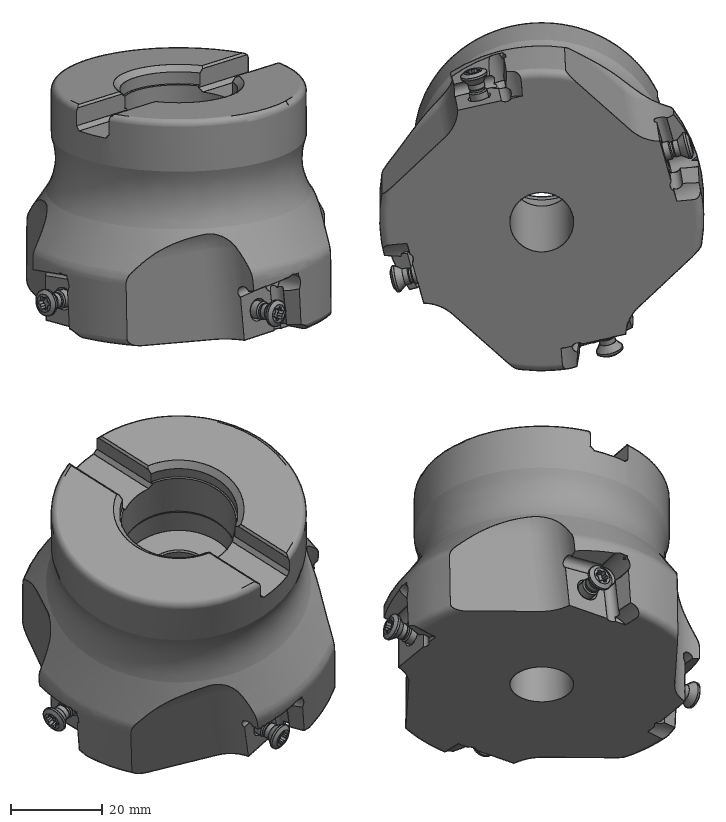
import cadquery as cq
import math


HEIGHT = 50.1
HEAD_RADIUS = 28.0
HEAD_BOTTOM = 38.4
HEAD_EDGE_RADIUS = 1.65
HEAD_EDGE_ANGLE = 74.0
NECK_RADIUS = 27.05
NECK_HEIGHT = 33.3
CONE_TOP_RADIUS = 29.05
CONE_TOP = 25.55
CONE_ANGLE = 34.0
RIM_RADIUS = 35.55
SHOULDER_TOP = 17.0
SHOULDER_RADIUS = 4.6
BOTTOM_FILLET = 1.9

BORE_RADIUS = 12.6
BORE_DEPTH = 22.0
BORE_ENTRY_RADIUS = 14.3
BORE_ENTRY_DEPTH = 1.3
BORE_MOUTH_RADIUS = 12.95
BORE_MOUTH_DEPTH = 4.0
BORE_MOUTH_TAPER = 0.15
BORE_RELIEF_RADIUS = 13.0
BORE_RELIEF_DEPTH = 15.1
BORE_RELIEF_TAPER = 0.85
HOLE_RADIUS = 7.0
HOLE_CHAMFER = 0.35

SLOT_WIDTH = 9.8
SLOT_DEPTH = 5.5
SLOT_CORNER_CHAMFER = 0.9
SLOT_EDGE_CHAMFER = 0.5

PITCH_OFFSET = 1.4
TOOTH_ANGLES = [0, 90 + PITCH_OFFSET, 180, 270 + PITCH_OFFSET]
RAKE_ANGLE = 5.4
OVERRUN = 10.8

FLUTE_WALL_ANGLE = 31.8
FLUTE_WALL_DISTANCE = 29.1
FLUTE_LEAN = 0.6
FLUTE_RADIUS = 9.35
FLUTE_CORNER = -0.7
FLUTE_TOP = 20.65
FLUTE_LENGTH = 36.0

SEAT_DISTANCE = 29.85
SEAT_LEFT = -18.7
SEAT_RIGHT = -1.0
SEAT_TOP = 10.4
POCKET_DEPTH = 7.2
POCKET_DRAFT = 15.0
GROOVE_RADIUS = 1.45
GROOVE_HEIGHT = 0.9
GROOVE_X = -1.0
GROOVE_Z = 10.6
CORNER_HOLE_RADIUS = 2.4
CORNER_HOLE_X = -1.2
CORNER_HOLE_Z = 10.0
CORNER_HOLE_TIP = 1.15
SCOOP_RADIUS = 4.0
SCOOP_X = -0.4
SCOOP_Z = -4.3
SCOOP_TAPER = 5.0

SCREW_X = -6.6
SCREW_Z = 4.95
THREAD_RADIUS = 2.0
THREAD_DEPTH = 7.2
THREAD_TOP = 1.4
UNDERCUT_RADIUS = 1.65
UNDERCUT_BOTTOM = 1.65
UNDERCUT_TOP = 2.1
NECK_BOTTOM = 2.3
SCREW_NECK_RADIUS = 1.8
NECK_TOP = 3.45
SCREW_HEAD_RADIUS = 2.95
SCREW_HEAD_BOTTOM = 5.0
SCREW_HEAD_EDGE = 5.55
SCREW_HEAD_TOP = 6.1
SCREW_HEAD_FACE_RADIUS = 2.0
SOCKET_RADIUS = 1.2
SOCKET_LOBE_RADIUS = 0.35
SOCKET_LOBES = 6
SOCKET_DEPTH = 1.45
COUNTERSINK = 0.5

ORIGIN = (0, 0, 0)
X_AXIS = (1, 0, 0)
Y_AXIS = (0, 1, 0)
Z_AXIS = (0, 0, 1)
wall_direction = math.radians(FLUTE_WALL_ANGLE)
WALL_NORMAL = (-math.sin(wall_direction), -math.cos(wall_direction), 0)


def rake(shape):
    """Lean a tooth feature by the rake angle, about the outward normal of the flute wall."""
    return shape.rotate(ORIGIN, WALL_NORMAL, RAKE_ANGLE)


def at_tooth(shape, angle):
    return shape.rotate(ORIGIN, Z_AXIS, angle)


def turned(profile):
    """Revolve closed (radius, Z) points about the cutter axis."""
    return cq.Workplane("XZ").polyline(profile).close().revolve(360, ORIGIN, Y_AXIS)


def turned_on_seat(profile, x, z):
    """Revolve (radius, height above the insert seat) points about the seat normal at x, z."""
    outward = [(radius, -height) for radius, height in profile]
    solid = cq.Workplane("XY").polyline(outward).close().revolve(360, ORIGIN, Y_AXIS)
    return solid.translate((x, -SEAT_DISTANCE, z))


def rounding_point(outer_radius, start_z, rounding, angle):
    """Point on an arc that leaves a cylinder tangentially at start_z and curves inward, going up."""
    return outer_radius - rounding * (1 - math.cos(angle)), start_z + rounding * math.sin(angle)


def turned_body():
    cone = math.radians(CONE_ANGLE)
    shoulder_bottom = SHOULDER_TOP - SHOULDER_RADIUS * math.sin(cone)
    shoulder = (RIM_RADIUS, shoulder_bottom, SHOULDER_RADIUS)
    edge = math.radians(HEAD_EDGE_ANGLE)
    edge_bottom = HEIGHT - HEAD_EDGE_RADIUS * math.sin(edge)
    head_edge = (HEAD_RADIUS, edge_bottom, HEAD_EDGE_RADIUS)
    fillet_middle = BOTTOM_FILLET * (1 - math.sqrt(0.5))
    return (
        cq.Workplane("XZ")
        .lineTo(RIM_RADIUS - BOTTOM_FILLET, 0)
        .threePointArc((RIM_RADIUS - fillet_middle, fillet_middle), (RIM_RADIUS, BOTTOM_FILLET))
        .lineTo(RIM_RADIUS, shoulder_bottom)
        .threePointArc(rounding_point(*shoulder, cone / 2), rounding_point(*shoulder, cone))
        .lineTo(CONE_TOP_RADIUS, CONE_TOP)
        .threePointArc((NECK_RADIUS, NECK_HEIGHT), (HEAD_RADIUS, HEAD_BOTTOM))
        .lineTo(HEAD_RADIUS, edge_bottom)
        .threePointArc(rounding_point(*head_edge, edge / 2), rounding_point(*head_edge, edge))
        .lineTo(0, HEIGHT)
        .close()
        .revolve(360, ORIGIN, Y_AXIS)
    )


def bore():
    floor = HEIGHT - BORE_DEPTH
    relief_top = HEIGHT - BORE_RELIEF_DEPTH
    mouth_bottom = HEIGHT - BORE_MOUTH_DEPTH
    return turned([
        (0, 0),
        (HOLE_RADIUS, 0),
        (HOLE_RADIUS, floor - HOLE_CHAMFER),
        (HOLE_RADIUS + HOLE_CHAMFER, floor),
        (BORE_RELIEF_RADIUS, floor),
        (BORE_RELIEF_RADIUS, relief_top - BORE_RELIEF_TAPER),
        (BORE_RADIUS, relief_top),
        (BORE_RADIUS, mouth_bottom - BORE_MOUTH_TAPER),
        (BORE_MOUTH_RADIUS, mouth_bottom),
        (BORE_MOUTH_RADIUS, HEIGHT - BORE_ENTRY_DEPTH),
        (BORE_ENTRY_RADIUS, HEIGHT),
        (0, HEIGHT),
    ])


def drive_slot():
    half_width = SLOT_WIDTH / 2
    bottom = HEIGHT - SLOT_DEPTH
    right_side = [
        (half_width - SLOT_CORNER_CHAMFER, bottom),
        (half_width, bottom + SLOT_CORNER_CHAMFER),
        (half_width, HEIGHT - SLOT_EDGE_CHAMFER),
        (half_width + SLOT_EDGE_CHAMFER, HEIGHT),
    ]
    left_side = [(-x, z) for x, z in reversed(right_side)]
    return cq.Workplane("XZ").polyline(right_side + left_side).close().extrude(HEAD_RADIUS, both=True)


def flute():
    """Path of a ball-nosed mill: flat wall, round corner, rounded roof."""
    axis_y = -(FLUTE_WALL_DISTANCE + FLUTE_RADIUS)
    height = FLUTE_TOP + OVERRUN
    base = (FLUTE_CORNER, axis_y, -OVERRUN)
    ball_center = (FLUTE_CORNER, axis_y, FLUTE_TOP)
    corner = cq.Workplane("XY", origin=base).circle(FLUTE_RADIUS).extrude(height)
    ball = cq.Workplane("XY", origin=ball_center).sphere(FLUTE_RADIUS)
    roof = cq.Workplane("YZ", origin=ball_center).circle(FLUTE_RADIUS).extrude(-FLUTE_LENGTH)
    wall = (
        cq.Workplane("XY", origin=base)
        .center(-FLUTE_LENGTH / 2, 0)
        .rect(FLUTE_LENGTH, 2 * FLUTE_RADIUS)
        .extrude(height)
    )
    path = wall.union(corner).union(roof).union(ball).rotate(ORIGIN, X_AXIS, -FLUTE_LEAN)
    return rake(path.rotate(ORIGIN, Z_AXIS, -FLUTE_WALL_ANGLE))


def insert_recess():
    """Flat seat with drafted walls on its right and above it, open to the flute and the bottom."""
    width = SEAT_RIGHT - SEAT_LEFT
    height = SEAT_TOP + OVERRUN
    widening = POCKET_DEPTH * math.tan(math.radians(POCKET_DRAFT))
    recess = (
        cq.Workplane("XZ", origin=(SEAT_LEFT, -SEAT_DISTANCE, -OVERRUN))
        .rect(width, height, centered=False)
        .workplane(offset=POCKET_DEPTH)
        .rect(width + widening, height + widening, centered=False)
        .loft(ruled=True)
    )
    return rake(recess)


def side_groove():
    start = (GROOVE_X, -SEAT_DISTANCE - GROOVE_HEIGHT, -OVERRUN)
    groove = cq.Workplane("XY", origin=start).circle(GROOVE_RADIUS).extrude(OVERRUN + GROOVE_Z)
    return rake(groove)


def top_groove():
    start = (SEAT_LEFT, -SEAT_DISTANCE - GROOVE_HEIGHT, GROOVE_Z)
    groove = cq.Workplane("YZ", origin=start).circle(GROOVE_RADIUS).extrude(GROOVE_X - SEAT_LEFT)
    return rake(groove)


def corner_hole():
    """Relief hole at the pocket corner, with its conical bottom starting at the seat."""
    profile = [
        (0, -CORNER_HOLE_TIP),
        (CORNER_HOLE_RADIUS, 0),
        (CORNER_HOLE_RADIUS, POCKET_DEPTH),
        (0, POCKET_DEPTH),
    ]
    return rake(turned_on_seat(profile, CORNER_HOLE_X, CORNER_HOLE_Z))


def bottom_scoop():
    """Rounded clearance under the lower end of the pocket's side wall."""
    scoop = (
        cq.Workplane("XZ", origin=(SCOOP_X, -SEAT_DISTANCE, SCOOP_Z))
        .circle(SCOOP_RADIUS)
        .extrude(POCKET_DEPTH, taper=-SCOOP_TAPER)
    )
    return rake(scoop)


def screw_hole():
    profile = [
        (0, -THREAD_DEPTH),
        (THREAD_RADIUS, -THREAD_DEPTH),
        (THREAD_RADIUS, -COUNTERSINK),
        (THREAD_RADIUS + COUNTERSINK, 0),
        (0, 0),
    ]
    return rake(turned_on_seat(profile, SCREW_X, SCREW_Z))


def screw():
    profile = [
        (0, -THREAD_DEPTH),
        (THREAD_RADIUS, -THREAD_DEPTH),
        (THREAD_RADIUS, THREAD_TOP),
        (UNDERCUT_RADIUS, UNDERCUT_BOTTOM),
        (UNDERCUT_RADIUS, UNDERCUT_TOP),
        (SCREW_NECK_RADIUS, NECK_BOTTOM),
        (SCREW_NECK_RADIUS, NECK_TOP),
        (SCREW_HEAD_RADIUS, SCREW_HEAD_BOTTOM),
        (SCREW_HEAD_RADIUS, SCREW_HEAD_EDGE),
        (SCREW_HEAD_FACE_RADIUS, SCREW_HEAD_TOP),
        (0, SCREW_HEAD_TOP),
    ]
    face = cq.Workplane("XZ", origin=(SCREW_X, -SEAT_DISTANCE - SCREW_HEAD_TOP, SCREW_Z))
    socket = face.circle(SOCKET_RADIUS).extrude(-SOCKET_DEPTH)
    lobes = (
        face.polarArray(SOCKET_RADIUS, 0, 360, SOCKET_LOBES)
        .circle(SOCKET_LOBE_RADIUS)
        .extrude(-SOCKET_DEPTH)
    )
    return rake(turned_on_seat(profile, SCREW_X, SCREW_Z).cut(socket).cut(lobes))


tooth_cutters = [
    flute(),
    bottom_scoop(),
    insert_recess(),
    side_groove(),
    top_groove(),
    corner_hole(),
    screw_hole(),
]
body = turned_body().cut(bore()).cut(drive_slot())
for tooth_angle in TOOTH_ANGLES:
    for cutter in tooth_cutters:
        body = body.cut(at_tooth(cutter, tooth_angle))

first_screw = screw()
screws = [at_tooth(first_screw, tooth_angle).val() for tooth_angle in TOOTH_ANGLES]

result = cq.Compound.makeCompound([body.val(), *screws])